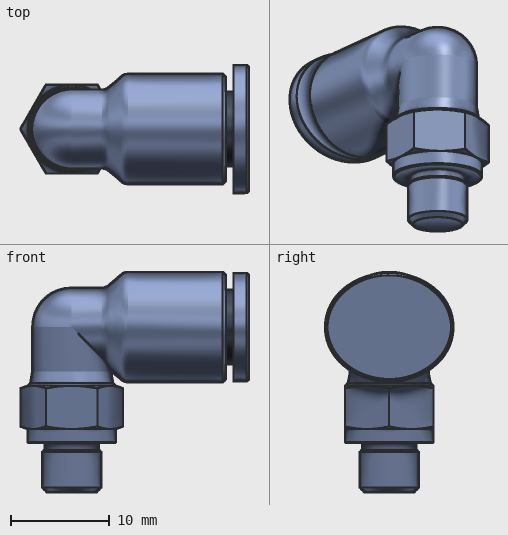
import cadquery as cq
import math


elbow_radius = 4.0

hex_across_flats = 9.0
hex_corner_radius = hex_across_flats / 2 / math.cos(math.pi / 6)
hex_top_z = -5.92
hex_bottom_z = -10.3
hex_chamfer_angle = 20.0
collar_radius = 4.5
collar_bottom_z = -11.7
collar_edge_chamfer = 0.1

flare_radius = 4.2
flare_top_z = -4.5
flare_foot_radius = 4.45
flare_bottom_z = hex_top_z + flare_foot_radius - flare_radius

stud_radius = 3.0
stud_neck_radius = 2.75
stud_neck_end_z = -12.4
stud_length = 5.0
stud_tip_chamfer = 0.5
stud_bottom_z = collar_bottom_z - stud_length

socket_radius = 5.6
socket_start_x = 3.1
socket_end_x = 15.6
socket_cone_angle = 40.0
socket_blend_radius = 1.0
socket_cone_length = 1.33
socket_end_chamfer = 0.33

button_neck_radius = 3.8
button_half_width = 6.5
button_half_height = 5.5
button_thickness = 1.6
button_end_chamfer = 0.25
overall_length = 23.15
button_end_x = overall_length - hex_corner_radius
button_start_x = button_end_x - button_thickness


def cylinder_x(radius, start_x, end_x):
    """Cylinder on the socket axis."""
    return cq.Workplane("YZ", origin=(start_x, 0, 0)).circle(radius).extrude(end_x - start_x)


def make_elbow():
    """Two equal cylinders meeting at a right angle with a spherical outer corner."""
    vertical = cq.Workplane("XY").circle(elbow_radius).extrude(hex_top_z)
    horizontal = cylinder_x(elbow_radius, 0, socket_start_x)
    corner = cq.Workplane("XY").sphere(elbow_radius)
    return vertical.union(horizontal).union(corner)


def make_flare():
    """Slightly conical skirt with a 45 degree foot standing on the hexagon."""
    return (
        cq.Workplane("XZ")
        .moveTo(0, flare_top_z)
        .lineTo(elbow_radius, flare_top_z)
        .lineTo(flare_radius, flare_bottom_z)
        .lineTo(flare_foot_radius, hex_top_z)
        .lineTo(0, hex_top_z)
        .close()
        .revolve(360, (0, 0), (0, 1))
    )


def make_hexagon():
    """Hexagon with corners on the X axis, its ends bevelled by shallow cones."""
    prism = (
        cq.Workplane("XY", origin=(0, 0, hex_bottom_z))
        .polygon(6, 2 * hex_corner_radius)
        .extrude(hex_top_z - hex_bottom_z)
    )
    slope = math.tan(math.radians(hex_chamfer_angle))
    top_drop = (hex_corner_radius - flare_foot_radius) * slope
    bottom_rise = (hex_corner_radius - collar_radius) * slope
    envelope = (
        cq.Workplane("XZ")
        .moveTo(0, hex_bottom_z)
        .lineTo(collar_radius, hex_bottom_z)
        .lineTo(hex_corner_radius, hex_bottom_z + bottom_rise)
        .lineTo(hex_corner_radius, hex_top_z - top_drop)
        .lineTo(flare_foot_radius, hex_top_z)
        .lineTo(0, hex_top_z)
        .close()
        .revolve(360, (0, 0), (0, 1))
    )
    return prism.intersect(envelope)


def make_collar():
    """Round sealing collar under the hexagon."""
    return (
        cq.Workplane("XY", origin=(0, 0, collar_bottom_z))
        .circle(collar_radius)
        .extrude(hex_bottom_z - collar_bottom_z)
        .faces("<Z")
        .chamfer(collar_edge_chamfer)
    )


def make_stud():
    """Stud with an undercut below the collar and chamfered ends."""
    neck = cq.Workplane("XY", origin=(0, 0, collar_bottom_z)).circle(stud_neck_radius)
    neck = neck.extrude(stud_neck_end_z - collar_bottom_z)
    stud = (
        cq.Workplane("XY", origin=(0, 0, stud_bottom_z))
        .circle(stud_radius)
        .extrude(stud_neck_end_z - stud_bottom_z)
        .faces(">Z")
        .chamfer(stud_radius - stud_neck_radius)
        .faces("<Z")
        .chamfer(stud_tip_chamfer)
    )
    return neck.union(stud)


def make_socket():
    """Socket body widening from the elbow through a cone with tangent blends at both ends."""
    angle = math.radians(socket_cone_angle)
    blend_length = socket_blend_radius * math.sin(angle)
    blend_rise = socket_blend_radius * (1 - math.cos(angle))
    half_length = socket_blend_radius * math.sin(angle / 2)
    half_rise = socket_blend_radius * (1 - math.cos(angle / 2))
    cone_start_x = socket_start_x + blend_length
    cone_end_x = cone_start_x + socket_cone_length
    blend_end_x = cone_end_x + blend_length
    return (
        cq.Workplane("XZ")
        .moveTo(socket_start_x, 0)
        .lineTo(socket_start_x, elbow_radius)
        .threePointArc(
            (socket_start_x + half_length, elbow_radius + half_rise),
            (cone_start_x, elbow_radius + blend_rise),
        )
        .lineTo(cone_end_x, socket_radius - blend_rise)
        .threePointArc(
            (blend_end_x - half_length, socket_radius - half_rise),
            (blend_end_x, socket_radius),
        )
        .lineTo(socket_end_x - socket_end_chamfer, socket_radius)
        .lineTo(socket_end_x, socket_radius - socket_end_chamfer)
        .lineTo(socket_end_x, 0)
        .close()
        .revolve(360, (0, 0), (1, 0))
    )


def make_button():
    """Oval release button on a round neck, chamfered on its outer face."""
    neck = cylinder_x(button_neck_radius, socket_end_x, button_start_x)
    oval = (
        cq.Workplane("YZ", origin=(button_start_x, 0, 0))
        .ellipse(button_half_width, button_half_height)
        .extrude(button_thickness)
        .faces(">X")
        .chamfer(button_end_chamfer)
    )
    return neck.union(oval)


result = (
    make_elbow()
    .union(make_flare())
    .union(make_hexagon())
    .union(make_collar())
    .union(make_stud())
    .union(make_socket())
    .union(make_button())
)